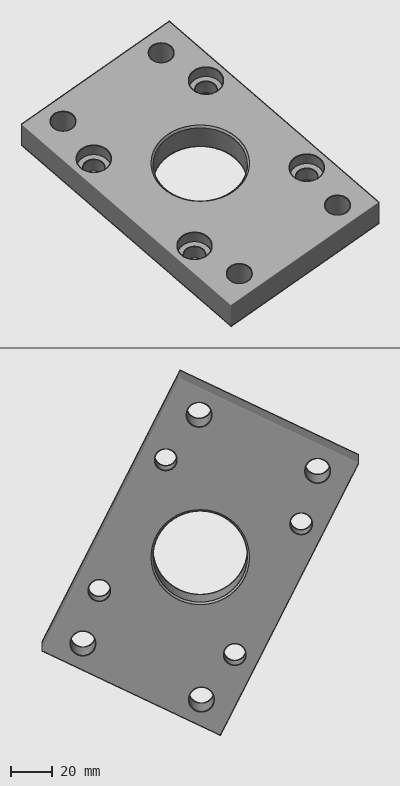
import cadquery as cq

length = 150.0
width = 95.0
thickness = 16.0
edge_radius = 0.2

bore_diameter = 45.0
bore_chamfer = 1.0

mount_hole_diameter = 12.0
mount_spacing_x = 126.0
mount_spacing_y = mount_spacing_x / 2

screw_hole_diameter = 10.5
counterbore_diameter = 16.5
counterbore_depth = 7.0
counterbore_floor = thickness - counterbore_depth
screw_spacing = 72.0

rim_chamfer = 0.2


def make_plate():
    """Plate resting on Z = 0 with all its outer edges slightly rounded."""
    plate = cq.Workplane("XY").box(length, width, thickness, centered=(True, True, False))
    return plate.edges().fillet(edge_radius)


def make_flare(diameter, chamfer, face_z, inward):
    """Cone that bevels a hole's rim at face_z; inward is +1 or -1 along Z, into the material."""
    rim = cq.Workplane("XY").workplane(offset=face_z).circle(diameter / 2 + chamfer)
    return rim.workplane(offset=inward * chamfer).circle(diameter / 2).loft()


def make_hole(diameter, bottom, top, chamfer, bevel_bottom=True):
    """Solid to cut for a vertical hole, bevelled at the top and optionally at the bottom."""
    hole = cq.Workplane("XY").workplane(offset=bottom).circle(diameter / 2).extrude(top - bottom)
    hole = hole.union(make_flare(diameter, chamfer, top, -1))
    if bevel_bottom:
        hole = hole.union(make_flare(diameter, chamfer, bottom, 1))
    return hole


def make_screw_hole():
    """Solid to cut for a counterbored hole; the counterbore has a sharp floor corner."""
    shank = make_hole(screw_hole_diameter, 0, counterbore_floor, rim_chamfer)
    counterbore = make_hole(
        counterbore_diameter, counterbore_floor, thickness, rim_chamfer, bevel_bottom=False
    )
    return shank.union(counterbore)


def cut_at_corners(plate, hole, spacing_x, spacing_y):
    """Cut the same hole at the four corners of a centred rectangle."""
    for side_x in (-1, 1):
        for side_y in (-1, 1):
            corner = (side_x * spacing_x / 2, side_y * spacing_y / 2, 0)
            plate = plate.cut(hole.translate(corner))
    return plate


bore = make_hole(bore_diameter, 0, thickness, bore_chamfer)
mount_hole = make_hole(mount_hole_diameter, 0, thickness, rim_chamfer)

result = make_plate().cut(bore)
result = cut_at_corners(result, mount_hole, mount_spacing_x, mount_spacing_y)
result = cut_at_corners(result, make_screw_hole(), screw_spacing, screw_spacing)